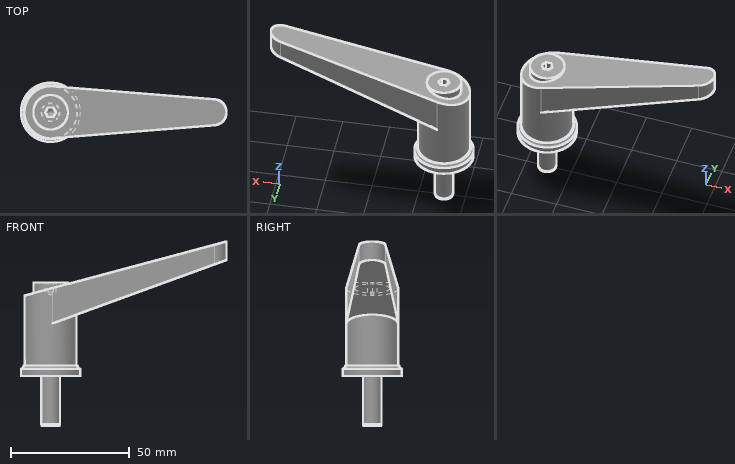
import cadquery as cq
import math

flange_radius = 12.5
overall_length = 86.5
tip_x = overall_length - flange_radius

flange_height = 3.0
shoulder_radius = 11.3
shoulder_top = 4.4

hub_radius = 11.0
tip_radius = 5.5
top_angle = math.radians(15)
underside_angle = math.radians(20)
top_height_at_axis = 36.85
underside_height_at_axis = 21.9

cap_radius = 7.3
cap_top = 39.45
socket_flats = 4.0
socket_depth = 4.0
socket_point_angle = math.radians(30)

stud_radius = 4.0
stud_length = 21.0
stud_chamfer_height = 0.9
stud_chamfer_width = 0.35


def top_height(x):
    return top_height_at_axis + x * math.tan(top_angle)


def underside_height(x):
    return underside_height_at_axis + x * math.tan(underside_angle)


def make_flange():
    """Revolved flange whose shoulder curves in towards the hub."""
    arc_slack = 0.3
    width = flange_radius - shoulder_radius
    height = shoulder_top - flange_height
    chord = math.hypot(width, height)
    arc_middle = (
        (flange_radius + shoulder_radius) / 2 - arc_slack * height / chord,
        (flange_height + shoulder_top) / 2 - arc_slack * width / chord,
    )
    return (
        cq.Workplane("XZ")
        .lineTo(flange_radius, 0)
        .lineTo(flange_radius, flange_height)
        .threePointArc(arc_middle, (shoulder_radius, shoulder_top))
        .lineTo(0, shoulder_top)
        .close()
        .revolve(360, (0, 0, 0), (0, 1, 0))
    )


def make_side_prism(points):
    """Extrude an XZ outline across the full width of the hub."""
    return cq.Workplane("XZ").polyline(points).close().extrude(hub_radius, both=True)


def make_hub():
    """Cylinder cut off by the sloping top plane of the lever."""
    envelope = make_side_prism([
        (-hub_radius, 0),
        (hub_radius, 0),
        (hub_radius, top_height(hub_radius)),
        (-hub_radius, top_height(-hub_radius)),
    ])
    return cq.Workplane("XY").circle(hub_radius).extrude(top_height(hub_radius)).intersect(envelope)


def make_arm():
    """Tapered arm whose straight sides are tangent to the hub and the round tip."""
    tip_center_x = tip_x - tip_radius
    sin_taper = (hub_radius - tip_radius) / tip_center_x
    cos_taper = math.sqrt(1 - sin_taper**2)
    hub_tangent = (hub_radius * sin_taper, hub_radius * cos_taper)
    tip_tangent = (tip_center_x + tip_radius * sin_taper, tip_radius * cos_taper)
    plan = (
        cq.Workplane("XY")
        .moveTo(hub_tangent[0], -hub_tangent[1])
        .lineTo(tip_tangent[0], -tip_tangent[1])
        .threePointArc((tip_x, 0), tip_tangent)
        .lineTo(*hub_tangent)
        .close()
        .extrude(top_height(tip_x))
    )
    profile = make_side_prism([
        (0, underside_height(0)),
        (tip_x, underside_height(tip_x)),
        (tip_x, top_height(tip_x)),
        (0, top_height(0)),
    ])
    return plan.intersect(profile)


def make_cap():
    return cq.Workplane("XY").circle(cap_radius).extrude(cap_top)


def make_socket():
    """Hexagonal recess ending in a conical drill point."""
    corner_radius = socket_flats / 2 / math.cos(math.pi / 6)
    floor_height = cap_top - socket_depth
    hexagon = (
        cq.Workplane("XY", origin=(0, 0, floor_height))
        .polygon(6, 2 * corner_radius)
        .extrude(socket_depth)
    )
    point_depth = corner_radius * math.tan(socket_point_angle)
    cone = cq.Workplane(cq.Solid.makeCone(
        corner_radius, 0, point_depth, pnt=cq.Vector(0, 0, floor_height), dir=cq.Vector(0, 0, -1)
    ))
    drill_point = cone.intersect(hexagon.translate((0, 0, -socket_depth)))
    return hexagon.union(drill_point)


def make_stud():
    stud = cq.Workplane("XY").circle(stud_radius).extrude(-stud_length)
    return stud.faces("<Z").chamfer(stud_chamfer_height, stud_chamfer_width)


body = make_flange().union(make_hub()).union(make_arm()).union(make_cap())
result = body.union(make_stud()).cut(make_socket())